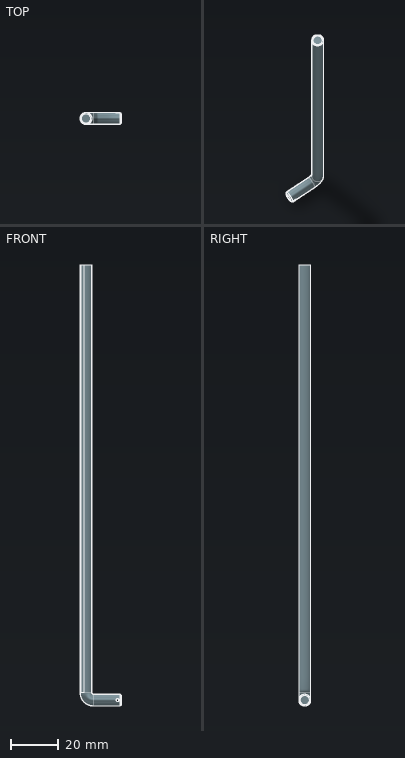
import cadquery as cq

height = 187.5
reach = 17.6
rod_diameter = 5.0
rod_radius = rod_diameter / 2

bend_radius = 3.2

flat_distance = 2.38
flat_angle = 231.0

recess_diameter = 4.0
recess_depth = 0.2

hole_diameter = 1.1
hole_from_tip = 1.7
tip_chamfer = 0.5

arm_axis_z = rod_radius
bend_top_z = arm_axis_z + bend_radius
tip_x = reach - rod_radius


def make_upright():
    """Straight round rod with one narrow lengthwise flat and a recessed top end."""
    length = height - bend_top_z
    rod = cq.Workplane("XY").workplane(offset=bend_top_z).circle(rod_radius).extrude(length)
    keep = (
        cq.Workplane("XY")
        .workplane(offset=bend_top_z)
        .center(flat_distance - rod_diameter, 0)
        .rect(2 * rod_diameter, 2 * rod_diameter)
        .extrude(length)
        .rotate((0, 0, 0), (0, 0, 1), flat_angle)
    )
    recess = (
        cq.Workplane("XY")
        .workplane(offset=height - recess_depth)
        .circle(recess_diameter / 2)
        .extrude(recess_depth)
    )
    return rod.intersect(keep).cut(recess)


def make_bend():
    """Quarter turn from the upright into the +X direction."""
    return (
        cq.Workplane("XY")
        .workplane(offset=bend_top_z)
        .circle(rod_radius)
        .revolve(90, (bend_radius, 1.9, 0), (bend_radius, 0, 0))
    )


def make_arm():
    """Short horizontal arm with a chamfered tip and a cross hole."""
    arm = (
        cq.Workplane("YZ", origin=(bend_radius, 0, arm_axis_z))
        .circle(rod_radius)
        .extrude(tip_x - bend_radius)
        .faces(">X")
        .chamfer(tip_chamfer)
    )
    hole = (
        cq.Workplane("XZ", origin=(tip_x - hole_from_tip, 0, arm_axis_z))
        .circle(hole_diameter / 2)
        .extrude(rod_diameter, both=True)
    )
    return arm.cut(hole)


result = make_upright().union(make_bend()).union(make_arm())